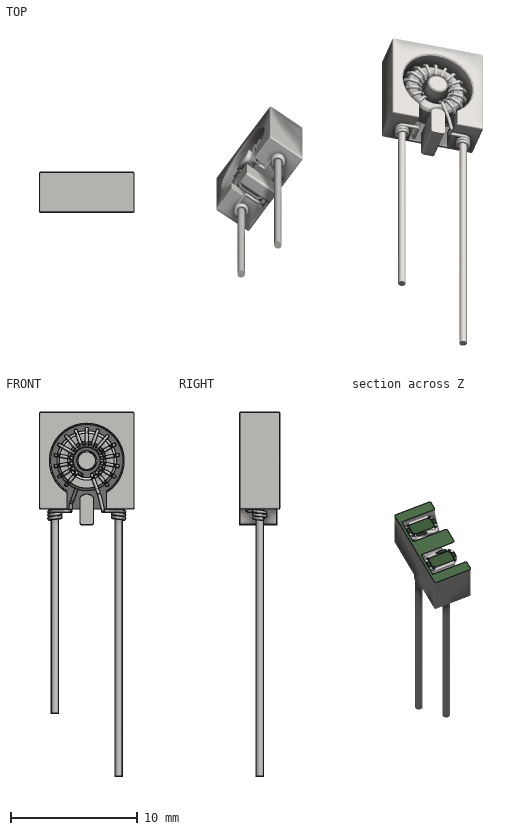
import cadquery as cq
import math


case_width = 7.5
case_depth = 3.2
case_height = 7.7
case_edge_fillet = 0.12
back_wall = 0.25
cavity_radius = 2.87
cavity_chamfer = 0.1
slot_width = 3.16
post_radius = 0.8
post_chamfer = 0.1
tongue_width = 1.1
tongue_drop = 1.25
tongue_rise = 1.2
tongue_shoulder = 0.3
tongue_fillet = 0.2

center_z = case_height / 2
front_y = -case_depth / 2
floor_y = case_depth / 2 - back_wall

total_height = 28.9
lead_radius = 0.3
lead_pitch = 5.05
long_lead = total_height - case_height
lead_length_step = 5.0
short_lead = long_lead - lead_length_step

wire_radius = 0.13
wire_clearance = 0.01
wire_offset = wire_radius + wire_clearance
core_inner_radius = 1.34
core_outer_radius = 2.38
core_chamfer = 0.2
core_front_y = -0.85
core_back_y = floor_y - 2 * wire_offset

turn_count = 16
turn_step = 20
first_angle = -70
last_angle = first_angle + turn_count * turn_step

start_joint_radius = 2.8
end_joint_radius = 3.4

wrap_turns = 2.35
wrap_pitch = 0.27
wrap_radius = lead_radius + wire_offset
elbow_x = 1.3
elbow_z = -wire_offset
rear_tail_y = 0.83


def ring_point(radius, y, angle):
    """Point at a radius and angle round the ring axis."""
    turn = math.radians(angle)
    return cq.Vector(radius * math.cos(turn), y, center_z + radius * math.sin(turn))


def wire_along(points):
    """Round wire through the points, with ball-shaped bends."""
    start = points[0]
    heading = points[1] - start
    path = cq.Workplane("XY").polyline([p.toTuple() for p in points])
    profile = cq.Workplane(cq.Plane(origin=start, normal=heading)).circle(wire_radius)
    return profile.sweep(path, transition="round")


def along_depth(y):
    """Plane facing +Y at the given depth, centred on the ring axis, with local y pointing down."""
    return cq.Workplane(cq.Plane(origin=(0, y, center_z), xDir=(1, 0, 0), normal=(0, 1, 0)))


def make_case():
    shell = cq.Workplane("XY").box(case_width, case_depth, case_height, centered=(True, True, False))
    shell = shell.edges().fillet(case_edge_fillet)

    cavity_depth = floor_y - front_y
    cavity = along_depth(front_y).circle(cavity_radius).extrude(cavity_depth)
    rim = along_depth(front_y).circle(cavity_radius + cavity_chamfer)
    rim = rim.workplane(offset=cavity_chamfer).circle(cavity_radius).loft(combine=True)
    slot = along_depth(front_y).center(0, center_z / 2).rect(slot_width, center_z).extrude(cavity_depth)
    shell = shell.cut(cavity).cut(rim).cut(slot)

    post = along_depth(front_y).circle(post_radius).extrude(cavity_depth)
    post = post.faces("<Y").chamfer(post_chamfer)
    return shell.union(post).union(make_tongue())


def make_tongue():
    half_width = tongue_width / 2
    shoulder_z = tongue_rise - tongue_shoulder
    profile = (
        cq.Workplane("XZ", origin=(0, floor_y, 0))
        .moveTo(-half_width, -tongue_drop)
        .lineTo(half_width, -tongue_drop)
        .lineTo(half_width, shoulder_z)
        .threePointArc((0, tongue_rise), (-half_width, shoulder_z))
        .close()
    )
    tongue = profile.extrude(floor_y - front_y)
    return tongue.faces("<Z").edges("|Y").fillet(tongue_fillet)


def make_core():
    core = along_depth(core_front_y).circle(core_outer_radius).circle(core_inner_radius)
    core = core.extrude(core_back_y - core_front_y)
    return core.faces("<Y or >Y").edges().chamfer(core_chamfer)


wind_front_y = core_front_y - wire_offset
wind_back_y = core_back_y + wire_offset
wind_inner_radius = core_inner_radius - wire_offset
wind_outer_radius = core_outer_radius + wire_offset
wind_chamfer = core_chamfer + wire_offset * (2 - math.sqrt(2))

start_joint = ring_point(start_joint_radius, wind_front_y, first_angle)
end_joint = ring_point(end_joint_radius, wind_back_y, last_angle)


def make_winding():
    front_flat = wind_front_y + wind_chamfer
    back_flat = wind_back_y - wind_chamfer
    inner_flat = wind_inner_radius + wind_chamfer
    outer_flat = wind_outer_radius - wind_chamfer

    points = [start_joint]
    for turn in range(turn_count):
        front_angle = first_angle + turn * turn_step
        back_angle = front_angle + turn_step
        if turn > 0:
            points += [
                ring_point(outer_flat, wind_back_y, front_angle),
                ring_point(wind_outer_radius, back_flat, front_angle),
                ring_point(wind_outer_radius, front_flat, front_angle),
                ring_point(outer_flat, wind_front_y, front_angle),
            ]
        points += [
            ring_point(inner_flat, wind_front_y, front_angle),
            ring_point(wind_inner_radius, front_flat, front_angle),
            ring_point(wind_inner_radius, back_flat, back_angle),
            ring_point(inner_flat, wind_back_y, back_angle),
        ]
    points.append(end_joint)
    return wire_along(points)


def make_termination(joint, joint_angle, tail_y, side):
    lead_x = side * lead_pitch / 2
    lead_in = ring_point(2 * wire_radius, 0, joint_angle) - ring_point(0, 0, joint_angle)
    tail = wire_along([
        joint,
        joint + lead_in,
        cq.Vector(side * elbow_x, tail_y, elbow_z),
        cq.Vector(side * elbow_x, -wrap_radius, elbow_z),
        cq.Vector(lead_x, -wrap_radius, elbow_z),
    ])
    height = wrap_turns * wrap_pitch
    helix = cq.Wire.makeHelix(wrap_pitch, height, wrap_radius)
    coil = cq.Workplane("XZ", origin=(wrap_radius, 0, 0)).circle(wire_radius)
    coil = coil.sweep(cq.Workplane(obj=helix), isFrenet=True)
    coil = coil.rotate((0, 0, 0), (1, 0, 0), 180).rotate((0, 0, 0), (0, 0, 1), -90)
    if side > 0:
        coil = coil.mirror("YZ")
    return tail.union(coil.translate((lead_x, 0, elbow_z)))


def make_lead(side, length):
    return cq.Workplane("XY").center(side * lead_pitch / 2, 0).circle(lead_radius).extrude(-length)


case = make_case()
core = make_core()
winding = make_winding()
left_termination = make_termination(end_joint, last_angle, rear_tail_y, -1)
right_termination = make_termination(start_joint, first_angle, wind_front_y, 1)
leads = [make_lead(side, length) for side, length in ((-1, short_lead), (1, long_lead))]

bodies = [case, core, winding, left_termination, right_termination, *leads]
result = cq.Compound.makeCompound([body.solids().val() for body in bodies])